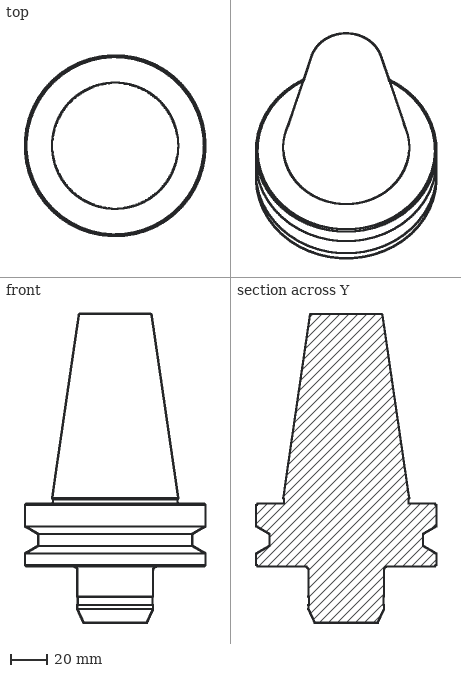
import cadquery as cq
import math

gauge_diameter = 69.85
shank_length = 101.8
taper_ratio = 7 / 24
shank_end_fillet = 1.0

flange_top_z = -3.0
neck_diameter = 69.0
neck_relief_drop = 0.9
neck_fillet = 0.5

flange_diameter = 100.0
flange_bottom_z = -38.0
flange_chamfer = 1.0
groove_diameter = 85.3
groove_center_z = -23.2
groove_floor_width = 6.5
groove_flank_angle = 30.0

nose_diameter = 42.0
nose_bottom_z = -69.0
nose_fillet = 2.0
nose_end_diameter = 35.0
nose_cone_length = 7.5

band_diameter = 41.5
band_top_z = -54.5
band_bottom_z = -59.3

neck_r = neck_diameter / 2
flange_r = flange_diameter / 2
groove_r = groove_diameter / 2
nose_r = nose_diameter / 2
band_r = band_diameter / 2
shank_end_r = (gauge_diameter - shank_length * taper_ratio) / 2
band_step = nose_r - band_r


def fillet_midpoint(center_r, center_z, radius, z_direction):
    """Middle of a concave quarter arc that faces the axis side of its centre."""
    offset = radius * math.sqrt(0.5)
    return (center_r - offset, center_z + z_direction * offset)


def shank_points():
    """Taper, from the axis at the small end down to the gauge plane."""
    return [
        (0, shank_length),
        (shank_end_r, shank_length),
        (gauge_diameter / 2, 0),
    ]


def flange_points():
    """Flange rim with both edge chamfers and the V-groove, from top to bottom."""
    half_floor = groove_floor_width / 2
    half_mouth = half_floor + (flange_r - groove_r) * math.tan(math.radians(groove_flank_angle))
    return [
        (flange_r - flange_chamfer, flange_top_z),
        (flange_r, flange_top_z - flange_chamfer),
        (flange_r, groove_center_z + half_mouth),
        (groove_r, groove_center_z + half_floor),
        (groove_r, groove_center_z - half_floor),
        (flange_r, groove_center_z - half_mouth),
        (flange_r, flange_bottom_z + flange_chamfer),
        (flange_r - flange_chamfer, flange_bottom_z),
    ]


def nose_points():
    """Nose with its shallow band and end cone, from below the fillet to the axis."""
    return [
        (nose_r, band_top_z),
        (band_r, band_top_z - band_step),
        (band_r, band_bottom_z + band_step),
        (nose_r, band_bottom_z),
        (nose_r, nose_bottom_z + nose_cone_length),
        (nose_end_diameter / 2, nose_bottom_z),
        (0, nose_bottom_z),
    ]


def add_lines(outline, points):
    for r, z in points:
        outline = outline.lineTo(r, z)
    return outline


def half_profile():
    """Closed half section in the XZ plane, right of the Z axis."""
    shank = shank_points()
    outline = add_lines(cq.Workplane("XZ").moveTo(*shank[0]), shank[1:])

    neck_fillet_start_z = flange_top_z + neck_fillet
    outline = outline.lineTo(neck_r, -neck_relief_drop)
    outline = outline.lineTo(neck_r, neck_fillet_start_z)
    outline = outline.threePointArc(
        fillet_midpoint(neck_r + neck_fillet, neck_fillet_start_z, neck_fillet, -1),
        (neck_r + neck_fillet, flange_top_z),
    )

    outline = add_lines(outline, flange_points())

    nose_fillet_end_z = flange_bottom_z - nose_fillet
    outline = outline.lineTo(nose_r + nose_fillet, flange_bottom_z)
    outline = outline.threePointArc(
        fillet_midpoint(nose_r + nose_fillet, nose_fillet_end_z, nose_fillet, 1),
        (nose_r, nose_fillet_end_z),
    )

    return add_lines(outline, nose_points()).close()


body = half_profile().revolve(360, (0, 0, 0), (0, 1, 0))
result = body.faces(">Z").edges().fillet(shank_end_fillet)